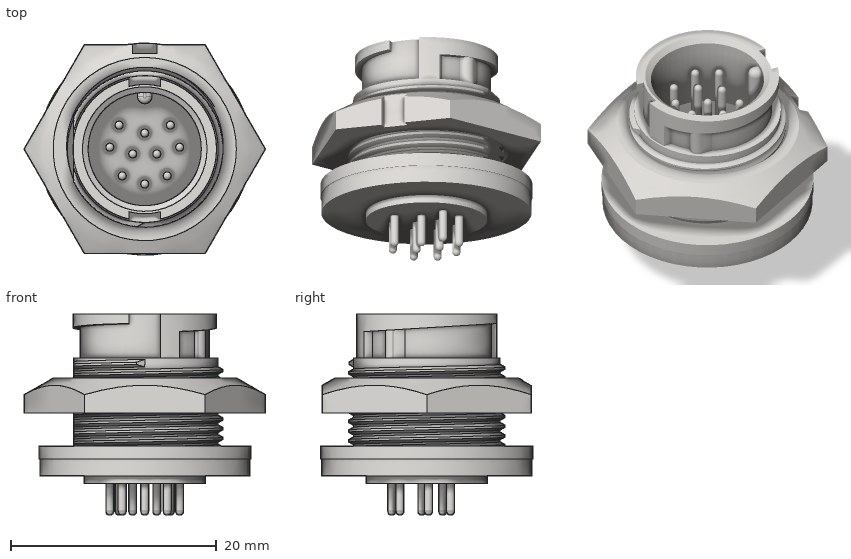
import cadquery as cq
import math


flange_rear_dia = 20.44
flange_front_dia = 20.62
flange_rear_height = 1.64
flange_height = 2.9
boss_dia = 11.8
boss_height = 0.75

barrel_radius = 7.13
barrel_top = 11.47
barrel_flat_x = -6.9
thread_crest_radius = 7.6
thread_pitch = 0.942
thread_turns = 9
thread_top = 10.95
thread_flank_angle = 29
thread_crest_width = 0.22
thread_overlap = 0.15
thread_runout_length = 0.85

rim_top = 15.74
rim_radius = 6.97
tube_radius = 6.28
notch_width = 3.04
stop_x = 3.39
ramp_mid_depth = 1.35
ramp_slope = 0.061
bump_x = 5.92
bump_y_start = 2.1
bump_y_end = 4.03
bump_corner_radius = 0.75

bore_radius = 5.5
bore_floor = 8.03
bore_chamfer = 0.55
bore_chamfer_depth = 0.47

key_radius = 0.7
key_center_y = 5.1
key_top = 14.9
key_rounding = 0.56

pin_radius = 0.39
pin_bottom = -3.82
pin_top = 13.78
outer_pin_circle_radius = 3.4
outer_pin_angles = [-40, -93, -133, 0, 40, 93, 133]
inner_pin_circle_radius = 1.35
inner_pin_center_y = 0.2
inner_pin_angles = [90, 210, 330]

nut_width = 23.46
nut_bottom = 6.1
nut_top = 9.53
nut_face_radius = 8.9
nut_hole_radius = 7.52
nut_groove_radius = 7.94
nut_groove_floor_width = 0.1
nut_thread_turns = 6
nut_chamfer_angle = 30
nut_notch_width = 2.36
nut_notch_inner_y = 9.28


def cylinder(radius, bottom, top):
    """A vertical cylinder on the connector axis between two heights."""
    return cq.Workplane("XY", origin=(0, 0, bottom)).circle(radius).extrude(top - bottom)


def block(x_range, y_range, z_range):
    """An axis-aligned box given by its limits."""
    size = [high - low for low, high in (x_range, y_range, z_range)]
    corner = (x_range[0], y_range[0], z_range[0])
    return cq.Workplane("XY").box(*size, centered=False).translate(corner)


def half_turn(shape):
    """A copy turned 180 degrees about the connector axis."""
    return shape.rotate((0, 0, 0), (0, 0, 1), 180)


def make_helix_body(turns, base_radius, crest_radius, crest_width):
    """Right-handed helical trapezoid whose upper end lies at -Y, centred on thread_top."""
    length = thread_pitch * turns
    flank_run = (crest_radius - base_radius) * math.tan(math.radians(thread_flank_angle))
    base_width = crest_width + 2 * flank_run
    helix = cq.Wire.makeHelix(thread_pitch, length, barrel_radius)
    return (
        cq.Workplane("XZ")
        .moveTo(base_radius, -base_width / 2)
        .lineTo(crest_radius, -crest_width / 2)
        .lineTo(crest_radius, crest_width / 2)
        .lineTo(base_radius, base_width / 2)
        .close()
        .sweep(cq.Workplane(obj=helix), isFrenet=True)
        .rotate((0, 0, 0), (0, 0, 1), -90)
        .translate((0, 0, thread_top - length))
    )


def make_thread():
    """Right-handed external thread, ending at the -Y side with a tapered runout."""
    base_radius = barrel_radius - thread_overlap
    ridge = make_helix_body(thread_turns, base_radius, thread_crest_radius, thread_crest_width)
    runout_radius = thread_crest_radius + thread_overlap
    runout = (
        cq.Workplane("XY", origin=(0, 0, thread_top - thread_pitch / 2))
        .moveTo(0, -barrel_radius)
        .lineTo(-thread_runout_length, -thread_crest_radius)
        .lineTo(-thread_runout_length, -runout_radius)
        .lineTo(0, -runout_radius)
        .close()
        .extrude(thread_pitch)
    )
    return ridge.cut(runout)


def make_barrel():
    """Threaded barrel with one flat along its whole length."""
    barrel = cylinder(barrel_radius, 0, barrel_top).union(make_thread())
    flat = block(
        (-flange_front_dia / 2, barrel_flat_x),
        (-flange_front_dia / 2, flange_front_dia / 2),
        (0, barrel_top),
    )
    return barrel.cut(flat)


def make_bayonet_groove():
    """Groove under the rim on the -X side: sloping roof, end stop and locking bump."""
    roof_mid = rim_top - ramp_mid_depth
    roof_rise = ramp_slope * rim_radius
    wedge = (
        cq.Workplane("YZ", origin=(-rim_radius, 0, 0))
        .moveTo(-rim_radius, barrel_top)
        .lineTo(rim_radius, barrel_top)
        .lineTo(rim_radius, roof_mid - roof_rise)
        .lineTo(-rim_radius, roof_mid + roof_rise)
        .close()
        .extrude(rim_radius - notch_width / 2)
    )
    stop = block((-stop_x, 0), (0, rim_radius), (barrel_top, rim_top))
    bump = (
        block((-bump_x, 0), (bump_y_start, bump_y_end), (barrel_top, rim_top))
        .edges("|Z and <X and >Y")
        .fillet(bump_corner_radius)
    )
    tube = cylinder(tube_radius, barrel_top, rim_top)
    return wedge.cut(tube).cut(stop).cut(bump)


def make_entry_notch():
    """Full-height entry slot in the rim on the -Y side, down to the tube surface."""
    slot = block((-notch_width / 2, notch_width / 2), (-rim_radius, 0), (barrel_top, rim_top))
    return slot.cut(cylinder(tube_radius, barrel_top, rim_top))


def make_rim():
    """Bayonet coupling ring, the same on opposite sides."""
    rim = cylinder(rim_radius, barrel_top, rim_top)
    for cutter in (make_bayonet_groove(), make_entry_notch()):
        rim = rim.cut(cutter).cut(half_turn(cutter))
    return rim


def make_bore():
    """Blind bore from the top with a chamfered mouth."""
    profile = (
        cq.Workplane("XZ")
        .moveTo(0, bore_floor)
        .lineTo(bore_radius, bore_floor)
        .lineTo(bore_radius, rim_top - bore_chamfer_depth)
        .lineTo(bore_radius + bore_chamfer, rim_top)
        .lineTo(0, rim_top)
        .close()
    )
    return profile.revolve(360, (0, 0, 0), (0, 1, 0))


def make_key():
    """Polarising key: a round-nosed rib with a domed top, running into the bore wall."""
    key = (
        cq.Workplane("XY", origin=(0, 0, bore_floor))
        .moveTo(-key_radius, tube_radius)
        .lineTo(-key_radius, key_center_y)
        .threePointArc((0, key_center_y - key_radius), (key_radius, key_center_y))
        .lineTo(key_radius, tube_radius)
        .close()
        .extrude(key_top - bore_floor)
    )
    key = key.edges(">Z and (not >Y)").fillet(key_rounding)
    return key.intersect(cylinder((bore_radius + tube_radius) / 2, bore_floor, rim_top))


def pin_positions():
    """XY centres of the seven outer and three inner pins."""
    outer = [
        (
            outer_pin_circle_radius * math.sin(math.radians(angle)),
            -outer_pin_circle_radius * math.cos(math.radians(angle)),
        )
        for angle in outer_pin_angles
    ]
    inner = [
        (
            inner_pin_circle_radius * math.cos(math.radians(angle)),
            inner_pin_center_y + inner_pin_circle_radius * math.sin(math.radians(angle)),
        )
        for angle in inner_pin_angles
    ]
    return outer + inner


def make_pin(x, y):
    """Contact pin with hemispherical ends."""
    low = pin_bottom + pin_radius
    high = pin_top - pin_radius
    pin = (
        cq.Workplane("XZ")
        .moveTo(0, pin_bottom)
        .radiusArc((pin_radius, low), -pin_radius)
        .lineTo(pin_radius, high)
        .radiusArc((0, pin_top), -pin_radius)
        .close()
        .revolve(360, (0, 0, 0), (0, 1, 0))
    )
    return pin.translate((x, y, 0))


def make_connector():
    """Shell, key and pins as one solid."""
    shell = (
        make_barrel()
        .union(cylinder(flange_rear_dia / 2, 0, flange_rear_height))
        .union(cylinder(flange_front_dia / 2, flange_rear_height, flange_height))
        .union(cylinder(boss_dia / 2, -boss_height, 0))
        .union(make_rim())
        .cut(make_bore())
        .union(make_key())
    )
    for x, y in pin_positions():
        shell = shell.union(make_pin(x, y))
    return shell


def make_nut():
    """Hexagonal nut with a conical top, a clearance thread and a marking notch in its +Y flat."""
    corner_radius = nut_width / 2
    corner_drop = (corner_radius - nut_face_radius) * math.tan(math.radians(nut_chamfer_angle))
    height = nut_top - nut_bottom
    hexagon = cq.Workplane("XY", origin=(0, 0, nut_bottom)).polygon(6, nut_width).extrude(height)
    cone_envelope = (
        cq.Workplane("XZ")
        .moveTo(0, nut_bottom)
        .lineTo(corner_radius, nut_bottom)
        .lineTo(corner_radius, nut_top - corner_drop)
        .lineTo(nut_face_radius, nut_top)
        .lineTo(0, nut_top)
        .close()
        .revolve(360, (0, 0, 0), (0, 1, 0))
    )
    notch = block(
        (-nut_notch_width / 2, nut_notch_width / 2),
        (nut_notch_inner_y, corner_radius),
        (nut_bottom, nut_top),
    )
    thread_margin = thread_pitch
    hole = cylinder(nut_hole_radius, nut_bottom - thread_margin, nut_top + thread_margin)
    groove = make_helix_body(
        nut_thread_turns,
        nut_hole_radius - thread_overlap,
        nut_groove_radius,
        nut_groove_floor_width,
    )
    return hexagon.intersect(cone_envelope).cut(hole.union(groove)).cut(notch)


connector = make_connector()
nut = make_nut()
result = cq.Compound.makeCompound([connector.solids().val(), nut.solids().val()])